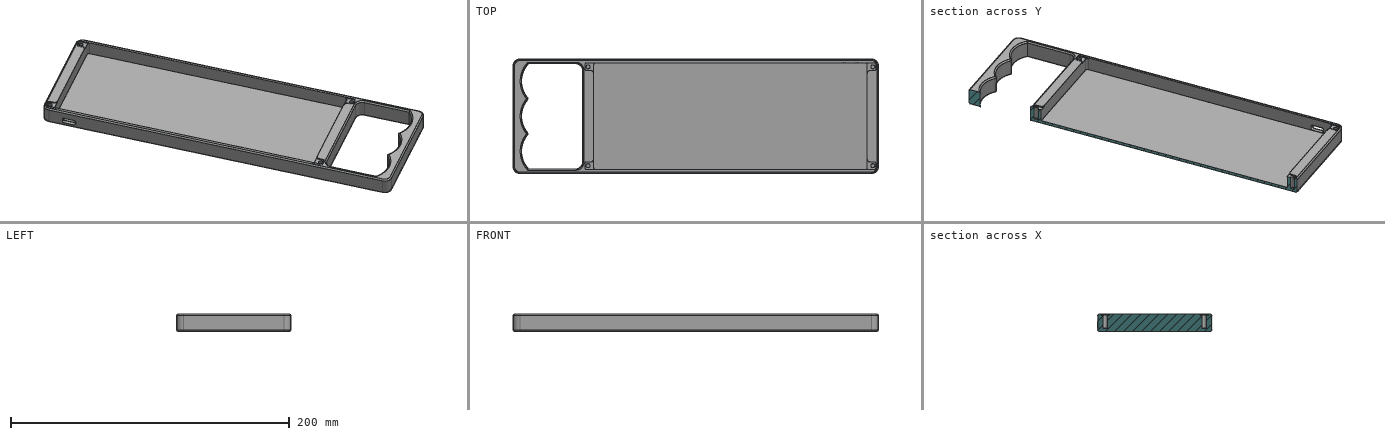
import cadquery as cq
import math

LENGTH = 262.21
WIDTH = 82.15
HEIGHT = 12.6
CORNER_RADIUS = 5.0
EDGE_CHAMFER = 1.0

SIDE_WALL = 2.8
FLOOR = 2.5
POCKET_LEFT = -73.2
POCKET_RIGHT = 123.0
POCKET_CORNER_RADIUS = 1.5

WINDOW_RIGHT = -81.2
WINDOW_WIDTH = 75.5
WINDOW_CORNER_RADIUS = 5.0
WINDOW_CHAMFER = 1.0
SCALLOP_COUNT = 3
SCALLOP_DEPTH = 5.0
CUSP_X = -120.0
CUSP_RADIUS = 1.5

SEAT_DEPTH = 0.8
SEAT_REACH = 6.2
SEAT_WIDTH = 5.5
SEAT_CORNER_RADIUS = 1.0
SEAT_FLARE_RADIUS = 2.2
SCREW_DIAMETER = 2.9
SCREW_INSET_X = 4.1
SCREW_INSET_Y = 2.8

SLOT_LENGTH = 10.0
SLOT_HEIGHT = 4.2
SLOT_X = 111.0
SLOT_LIFT = 0.2
SLOT_CORNER_RADIUS = 1.5

SELECT_MARGIN = 0.5

POCKET_WIDTH = WIDTH - 2 * SIDE_WALL
POCKET_LENGTH = POCKET_RIGHT - POCKET_LEFT
POCKET_CENTRE_X = (POCKET_LEFT + POCKET_RIGHT) / 2


def make_body():
    block = cq.Workplane("XY").box(LENGTH, WIDTH, HEIGHT, centered=(True, True, False))
    block = block.edges("|Z").fillet(CORNER_RADIUS)
    return block.faces("<Z or >Z").edges().chamfer(EDGE_CHAMFER)


def make_pocket():
    pocket = (
        cq.Workplane("XY", origin=(POCKET_CENTRE_X, 0, FLOOR))
        .rect(POCKET_LENGTH, POCKET_WIDTH)
        .extrude(HEIGHT - FLOOR)
    )
    return pocket.edges("|Z").fillet(POCKET_CORNER_RADIUS)


def make_window():
    half_width = WINDOW_WIDTH / 2
    pitch = WINDOW_WIDTH / SCALLOP_COUNT
    outline = (
        cq.Workplane("XY")
        .moveTo(CUSP_X, -half_width)
        .lineTo(WINDOW_RIGHT, -half_width)
        .lineTo(WINDOW_RIGHT, half_width)
        .lineTo(CUSP_X, half_width)
    )
    for index in range(SCALLOP_COUNT):
        start_y = half_width - index * pitch
        outline = outline.threePointArc(
            (CUSP_X - SCALLOP_DEPTH, start_y - pitch / 2),
            (CUSP_X, start_y - pitch),
        )
    window = outline.close().extrude(HEIGHT)
    window = window.edges("|Z and >X").fillet(WINDOW_CORNER_RADIUS)
    cusps = cq.selectors.BoxSelector(
        (CUSP_X - SELECT_MARGIN, -pitch, 0),
        (CUSP_X + SELECT_MARGIN, pitch, HEIGHT),
    )
    return window.edges("|Z").edges(cusps).fillet(CUSP_RADIUS)


def chamfer_window_rim(body):
    half_width = WINDOW_WIDTH / 2
    rim = cq.selectors.BoxSelector(
        (CUSP_X - SCALLOP_DEPTH - SELECT_MARGIN, -half_width - SELECT_MARGIN, HEIGHT - SELECT_MARGIN),
        (WINDOW_RIGHT + SELECT_MARGIN, half_width + SELECT_MARGIN, HEIGHT + SELECT_MARGIN),
    )
    return body.edges(rim).chamfer(WINDOW_CHAMFER)


def make_seat(end, side):
    """Tab seat, flared where it meets the pocket; end and side are -1 or +1 along X and Y."""
    pocket_end = POCKET_RIGHT if end > 0 else POCKET_LEFT
    wall_y = side * POCKET_WIDTH / 2
    seat_end = pocket_end + end * SEAT_REACH
    seat_edge_y = wall_y - side * SEAT_WIDTH
    flare_x = pocket_end + end * SEAT_FLARE_RADIUS
    flare_y = seat_edge_y - side * SEAT_FLARE_RADIUS
    flare_bulge = SEAT_FLARE_RADIUS * (1 - math.sqrt(0.5))
    seat = (
        cq.Workplane("XY", origin=(0, 0, HEIGHT - SEAT_DEPTH))
        .moveTo(seat_end, wall_y)
        .lineTo(seat_end, seat_edge_y)
        .lineTo(flare_x, seat_edge_y)
        .threePointArc(
            (pocket_end + end * flare_bulge, seat_edge_y - side * flare_bulge),
            (pocket_end, flare_y),
        )
        .lineTo(pocket_end - end * POCKET_CORNER_RADIUS, flare_y)
        .lineTo(pocket_end - end * POCKET_CORNER_RADIUS, wall_y)
        .close()
        .extrude(SEAT_DEPTH)
    )
    return seat.edges("|Z and >X" if end > 0 else "|Z and <X").fillet(SEAT_CORNER_RADIUS)


def make_screw_hole(end, side):
    pocket_end = POCKET_RIGHT if end > 0 else POCKET_LEFT
    return (
        cq.Workplane("XY", origin=(0, 0, FLOOR))
        .center(pocket_end + end * SCREW_INSET_X, side * (POCKET_WIDTH / 2 - SCREW_INSET_Y))
        .circle(SCREW_DIAMETER / 2)
        .extrude(HEIGHT - FLOOR)
    )



def make_cable_slot():
    slot = (
        cq.Workplane("XZ", origin=(SLOT_X, WIDTH / 2, FLOOR + SLOT_LIFT + SLOT_HEIGHT / 2))
        .rect(SLOT_LENGTH, SLOT_HEIGHT)
        .extrude(SIDE_WALL)
    )
    return slot.edges("|Y").fillet(SLOT_CORNER_RADIUS)


result = chamfer_window_rim(make_body().cut(make_window()))
result = result.cut(make_pocket())
for end in (-1, 1):
    for side in (-1, 1):
        result = result.cut(make_seat(end, side))
        result = result.cut(make_screw_hole(end, side))
result = result.cut(make_cable_slot())